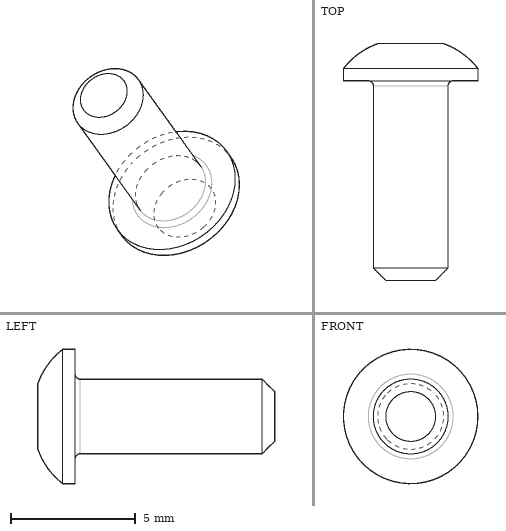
import cadquery as cq
import math

total_length = 9.5
head_height = 1.5
head_radius = 2.7
rim_height = 0.5
crown_flat_radius = 1.32
dome_radius = 3.04
shank_radius = 1.5
neck_fillet = 0.2
tip_chamfer = 0.5

tip_y = head_height - total_length


def dome_midpoint():
    """Middle of the convex arc from the rim edge to the crown flat."""
    chord_x = crown_flat_radius - head_radius
    chord_y = head_height - rim_height
    chord = math.hypot(chord_x, chord_y)
    bulge = dome_radius - math.sqrt(dome_radius**2 - (chord / 2) ** 2)
    middle_x = (head_radius + crown_flat_radius) / 2
    middle_y = (rim_height + head_height) / 2
    return (middle_x + bulge * chord_y / chord, middle_y - bulge * chord_x / chord)


def screw_profile():
    """Half section with a chamfered tip, concave neck fillet and domed head."""
    fillet_centre_x = shank_radius + neck_fillet
    fillet_offset = neck_fillet * math.sqrt(0.5)
    fillet_midpoint = (fillet_centre_x - fillet_offset, fillet_offset - neck_fillet)
    return (
        cq.Workplane("XY")
        .moveTo(0, tip_y)
        .lineTo(shank_radius - tip_chamfer, tip_y)
        .lineTo(shank_radius, tip_y + tip_chamfer)
        .lineTo(shank_radius, -neck_fillet)
        .threePointArc(fillet_midpoint, (fillet_centre_x, 0))
        .lineTo(head_radius, 0)
        .lineTo(head_radius, rim_height)
        .threePointArc(dome_midpoint(), (crown_flat_radius, head_height))
        .lineTo(0, head_height)
        .close()
    )


result = screw_profile().revolve(360, (0, 0, 0), (0, 1, 0))